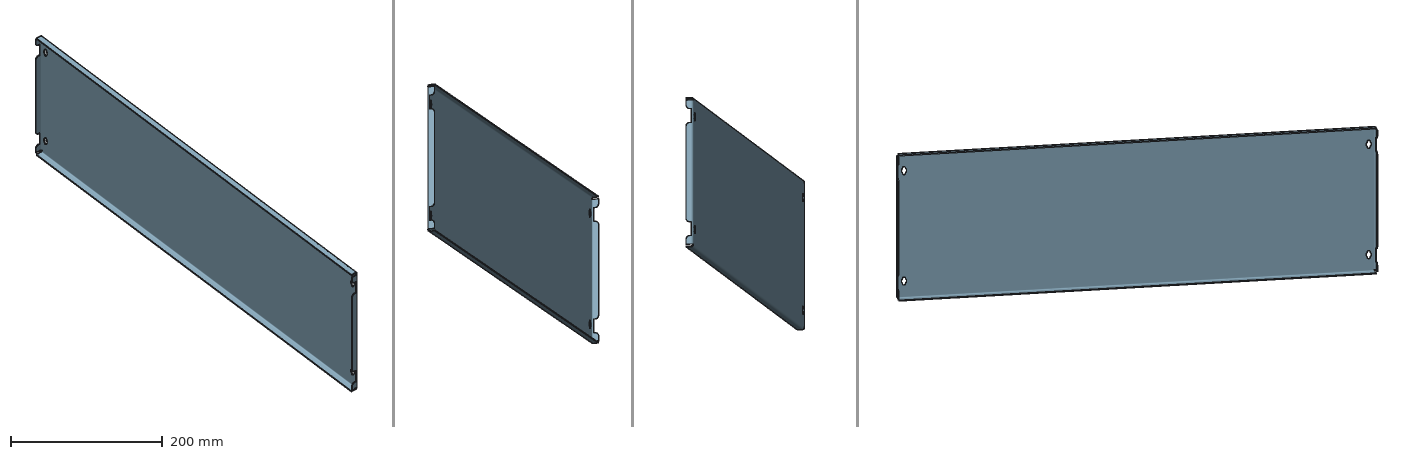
import cadquery as cq

LENGTH = 647.0
HEIGHT = 200.0
DEPTH = 10.0
BACK_Y = DEPTH / 2
FRONT_Y = -DEPTH / 2

THICKNESS = 1.5
INNER_RADIUS = 1.5
OUTER_RADIUS = INNER_RADIUS + THICKNESS
BEND_FRONT_Y = BACK_Y - OUTER_RADIUS

FLAT_LENGTH = LENGTH - 2 * OUTER_RADIUS
FLAT_HEIGHT = HEIGHT - 2 * OUTER_RADIUS

LONG_FLANGE_INSET = 2.0
END_FLANGE_INSET = 3.5
LONG_FLANGE_LENGTH = LENGTH - 2 * LONG_FLANGE_INSET
END_FLANGE_LENGTH = HEIGHT - 2 * END_FLANGE_INSET

LIP_HEIGHT = 133.0
TAB_HEIGHT = 11.5
NOTCH_CORNER_RADIUS = 5.0
NOTCH_BOTTOM_Z = LIP_HEIGHT / 2
NOTCH_TOP_Z = END_FLANGE_LENGTH / 2 - TAB_HEIGHT

HOLE_DIAMETER = 7.0
SLOT_WIDTH = 4.0
SLOT_HEIGHT = 11.0
HOLE_X = 313.25
HOLE_Z = 75.5
UPRIGHT = 90


def make_flange(half_span, length):
    """Flange running along X, bent at Z = half_span from the back sheet toward the front."""
    bend_z = half_span - OUTER_RADIUS
    inner_z = half_span - THICKNESS
    profile = (
        cq.Workplane("YZ")
        .moveTo(BACK_Y, bend_z)
        .radiusArc((BEND_FRONT_Y, half_span), -OUTER_RADIUS)
        .lineTo(FRONT_Y, half_span)
        .lineTo(FRONT_Y, inner_z)
        .lineTo(BEND_FRONT_Y, inner_z)
        .radiusArc((BACK_Y - THICKNESS, bend_z), INNER_RADIUS)
        .close()
    )
    return profile.extrude(length / 2, both=True)


def make_notch():
    """Cutter for the upper notch of the +X end, flaring with round corners at the free edge."""
    corner_y = FRONT_Y + NOTCH_CORNER_RADIUS
    outline = (
        cq.Workplane("YZ", origin=(LENGTH / 2 - OUTER_RADIUS, 0, 0))
        .moveTo(BEND_FRONT_Y, NOTCH_BOTTOM_Z)
        .lineTo(corner_y, NOTCH_BOTTOM_Z)
        .radiusArc((FRONT_Y, NOTCH_BOTTOM_Z - NOTCH_CORNER_RADIUS), -NOTCH_CORNER_RADIUS)
        .lineTo(FRONT_Y, NOTCH_TOP_Z + NOTCH_CORNER_RADIUS)
        .radiusArc((corner_y, NOTCH_TOP_Z), -NOTCH_CORNER_RADIUS)
        .lineTo(BEND_FRONT_Y, NOTCH_TOP_Z)
        .close()
    )
    return outline.extrude(OUTER_RADIUS)


def make_end_flange():
    """Flange on the +X end, notched down to its bend above and below the middle lip."""
    flange = make_flange(LENGTH / 2, END_FLANGE_LENGTH).rotate((0, 0, 0), (0, 1, 0), 90)
    notch = make_notch()
    return flange.cut(notch).cut(notch.mirror("XY"))


def back_plane():
    """Workplane on the back face; extruding from it goes toward the front."""
    return cq.Workplane("XZ", origin=(0, BACK_Y, 0))


def make_mounting_holes():
    """Cutters for the four mounting holes, one near each corner."""
    centers = [(x, z) for x in (-HOLE_X, HOLE_X) for z in (-HOLE_Z, HOLE_Z)]
    points = back_plane().pushPoints(centers)
    round_holes = points.circle(HOLE_DIAMETER / 2).extrude(THICKNESS)
    points = back_plane().pushPoints(centers)
    slots = points.slot2D(SLOT_HEIGHT, SLOT_WIDTH, UPRIGHT).extrude(THICKNESS)
    return round_holes.union(slots)


top_flange = make_flange(HEIGHT / 2, LONG_FLANGE_LENGTH)
end_flange = make_end_flange()

panel = back_plane().rect(FLAT_LENGTH, FLAT_HEIGHT).extrude(THICKNESS)
panel = panel.union(top_flange).union(top_flange.mirror("XY"))
panel = panel.union(end_flange).union(end_flange.mirror("YZ"))

result = panel.cut(make_mounting_holes())